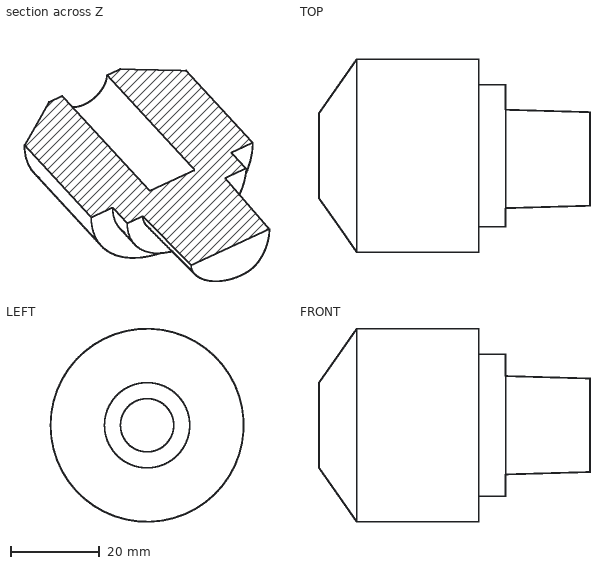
import cadquery as cq
import math

nose_length = 8.5
body_length = 27.5
collar_length = 6.0
shank_length = 19.0

nose_tip_diameter = 19.2
body_diameter = 43.5
collar_diameter = 32.0
bore_diameter = 12.0

shank_root_width = 22.2
shank_end_width = 21.1
shank_lobe_count = 3
shank_lobe_height = 0.7
shank_points_per_lobe = 12

bore_depth = nose_length + body_length

body_start = nose_length
collar_start = body_start + body_length
shank_start = collar_start + collar_length


def section_plane(x):
    """Workplane normal to +X at the given axial position, with local axes along Y and Z."""
    return cq.Workplane("YZ", origin=(x, 0, 0))


def cylinder(x, diameter, length):
    return section_plane(x).circle(diameter / 2).extrude(length)


def cone(x, start_diameter, end_diameter, length):
    start = section_plane(x).circle(start_diameter / 2)
    return start.workplane(offset=length).circle(end_diameter / 2).loft(ruled=True)


def lobed_point(width, angle):
    """Point whose outward normal is at the given angle; one lobe points to -Y.

    The distance from the axis to the tangent line is width / 2 - height * cos(lobes * angle).
    """
    reach = width / 2 - shank_lobe_height * math.cos(shank_lobe_count * angle)
    slope = shank_lobe_count * shank_lobe_height * math.sin(shank_lobe_count * angle)
    y = reach * math.cos(angle) - slope * math.sin(angle)
    z = reach * math.sin(angle) + slope * math.cos(angle)
    return y, z


def lobed_outline(width):
    count = shank_lobe_count * shank_points_per_lobe
    return [lobed_point(width, 2 * math.pi * i / count) for i in range(count)]


def lobed_shank():
    root = section_plane(shank_start).spline(lobed_outline(shank_root_width), periodic=True).close()
    end = root.workplane(offset=shank_length)
    return end.spline(lobed_outline(shank_end_width), periodic=True).close().loft(ruled=True)


nose = cone(0, nose_tip_diameter, body_diameter, nose_length)
body = cylinder(body_start, body_diameter, body_length)
collar = cylinder(collar_start, collar_diameter, collar_length)
bore = cylinder(0, bore_diameter, bore_depth)

result = nose.union(body).union(collar).union(lobed_shank()).cut(bore)